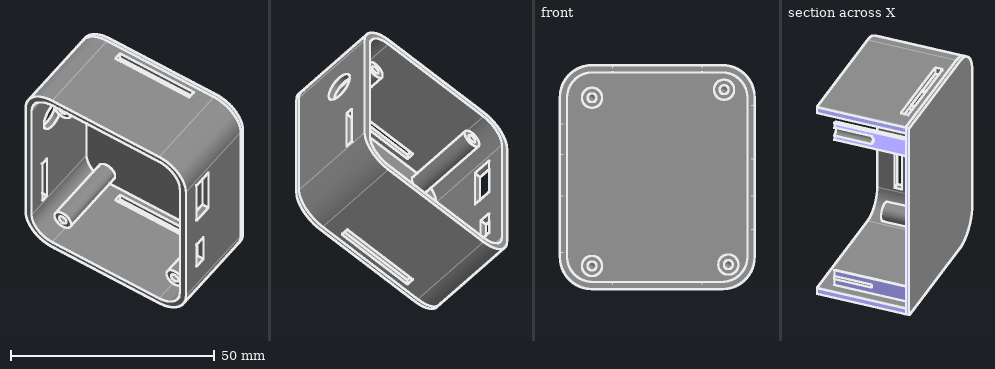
import cadquery as cq

WIDTH = 47.95
DEPTH = 24.6
HEIGHT = 55.1
CORNER_RADIUS = 8.0
WALL = 1.8
BACK_THICKNESS = 1.0
BACK_Y = DEPTH / 2
FLOOR_Y = BACK_Y - BACK_THICKNESS

POST_RADIUS = 2.5
POST_LENGTH = 19.0
PILOT_RADIUS = 1.1
PILOT_DEPTH = 9.9
PILOT_TIP_DEPTH = 0.65
POST_CENTRES = [(-16.05, 19.5), (16.4, 21.5), (-16.05, -21.8), (17.45, -21.5)]

VENT_LENGTH = 22.05
VENT_WIDTH = 2.0
VENT_FROM_BACK = 3.5

JACK_RADIUS = 3.8
JACK_FROM_BACK = 15.5
JACK_Z = 9.3
CARD_SLOT_WIDTH = 2.0
CARD_SLOT_HEIGHT = 13.9
CARD_SLOT_FROM_BACK = 19.0
CARD_SLOT_Z = -11.6

WINDOW_FRONT_EDGE = 20.0
LARGE_WINDOW_WIDTH = 5.1
LARGE_WINDOW_HEIGHT = 13.2
LARGE_WINDOW_Z = 11.0
SMALL_WINDOW_WIDTH = 3.0
SMALL_WINDOW_HEIGHT = 8.15
SMALL_WINDOW_Z = -8.75


def rounded_block(width, height, corner_radius, back_y, length):
    """Block with rounded corners in XZ, running from back_y toward -Y."""
    return (
        cq.Workplane("XZ", origin=(0, back_y, 0))
        .rect(width, height)
        .extrude(length)
        .edges("|Y")
        .fillet(corner_radius)
    )


def side_opening(side, width, height, from_back, z):
    """Rectangular cutter through one side wall; side is -1 or +1 along X."""
    centre = (side * (WIDTH - WALL) / 2, BACK_Y - from_back, z)
    return cq.Workplane("XY").box(2 * WALL, width, height).translate(centre)


def make_back_plate():
    return rounded_block(WIDTH, HEIGHT, CORNER_RADIUS, BACK_Y, BACK_THICKNESS)


def make_wall_frame():
    length = DEPTH - BACK_THICKNESS
    frame = rounded_block(WIDTH, HEIGHT, CORNER_RADIUS, FLOOR_Y, length)
    cavity = rounded_block(
        WIDTH - 2 * WALL, HEIGHT - 2 * WALL, CORNER_RADIUS - WALL, FLOOR_Y, length
    )
    vents = (
        cq.Workplane("XY")
        .box(VENT_LENGTH, VENT_WIDTH, 2 * HEIGHT)
        .translate((0, BACK_Y - VENT_FROM_BACK, 0))
    )
    jack_hole = (
        cq.Workplane("YZ", origin=(-WIDTH / 2, BACK_Y - JACK_FROM_BACK, JACK_Z))
        .circle(JACK_RADIUS)
        .extrude(2 * WALL)
    )
    card_slot = side_opening(
        -1, CARD_SLOT_WIDTH, CARD_SLOT_HEIGHT, CARD_SLOT_FROM_BACK, CARD_SLOT_Z
    )
    large_window = side_opening(
        1,
        LARGE_WINDOW_WIDTH,
        LARGE_WINDOW_HEIGHT,
        WINDOW_FRONT_EDGE - LARGE_WINDOW_WIDTH / 2,
        LARGE_WINDOW_Z,
    )
    small_window = side_opening(
        1,
        SMALL_WINDOW_WIDTH,
        SMALL_WINDOW_HEIGHT,
        WINDOW_FRONT_EDGE - SMALL_WINDOW_WIDTH / 2,
        SMALL_WINDOW_Z,
    )
    for cutter in (cavity, vents, jack_hole, card_slot, large_window, small_window):
        frame = frame.cut(cutter)
    return frame


def make_post(x, z):
    """Round post with a blind pilot hole that ends in a drill-point cone."""
    half_section = (
        cq.Workplane("YZ")
        .moveTo(0, 0)
        .lineTo(0, POST_RADIUS)
        .lineTo(-POST_LENGTH, POST_RADIUS)
        .lineTo(-POST_LENGTH, PILOT_RADIUS)
        .lineTo(PILOT_DEPTH - POST_LENGTH, PILOT_RADIUS)
        .lineTo(PILOT_DEPTH + PILOT_TIP_DEPTH - POST_LENGTH, 0)
        .close()
    )
    post = half_section.revolve(360, (0, 0, 0), (1, 0, 0))
    return post.translate((x, FLOOR_Y, z))


back_plate = make_back_plate()
wall_frame = make_wall_frame()
posts = [make_post(x, z) for x, z in POST_CENTRES]

result = cq.Compound.makeCompound(
    [back_plate.val(), wall_frame.val(), *[post.val() for post in posts]]
)